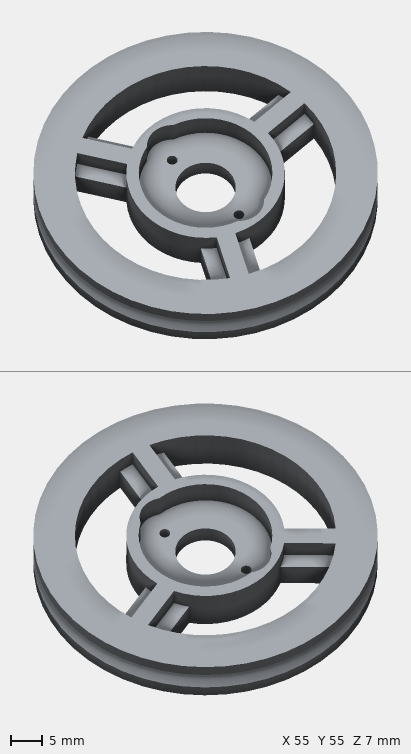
import cadquery as cq

outer_diameter = 55.0
height = 7.0
rim_inner_radius = 20.85
groove_depth = 1.55
groove_width = 2 * groove_depth

hub_radius = 12.65
pocket_radius = 10.65
pocket_depth = 4.0
bore_diameter = 9.6
pin_hole_diameter = 1.7
pin_hole_offset = 7.55
lobe_radius = 4.0

spoke_count = 3
first_spoke_angle = 90.0
flange_width = 8.05
flange_height = 4.0
web_width = 3.1
spoke_overlap = 0.8

outer_radius = outer_diameter / 2
pin_positions = [(-pin_hole_offset, 0), (pin_hole_offset, 0)]


def make_rim():
    """Revolve the rim section, with the V-groove at mid-height."""
    middle = height / 2
    return (
        cq.Workplane("XZ")
        .moveTo(rim_inner_radius, 0)
        .lineTo(outer_radius, 0)
        .lineTo(outer_radius, middle - groove_width / 2)
        .lineTo(outer_radius - groove_depth, middle)
        .lineTo(outer_radius, middle + groove_width / 2)
        .lineTo(outer_radius, height)
        .lineTo(rim_inner_radius, height)
        .close()
        .revolve(360, (0, 0, 0), (0, 1, 0))
    )


def make_spoke(angle):
    """Build one stepped spoke pointing outward at the given angle."""
    start = hub_radius - spoke_overlap
    length = rim_inner_radius + spoke_overlap - start
    centered = (False, True, False)
    flange = cq.Workplane("XY").box(length, flange_width, flange_height, centered=centered)
    web = cq.Workplane("XY").box(length, web_width, height, centered=centered)
    spoke = flange.union(web).translate((start, 0, 0))
    return spoke.rotate((0, 0, 0), (0, 0, 1), angle)


def make_pocket():
    """Build the round pocket volume with a lobe around each pin hole."""
    floor = cq.Workplane("XY").workplane(offset=height - pocket_depth)
    disc = floor.circle(pocket_radius).extrude(pocket_depth)
    lobes = floor.pushPoints(pin_positions).circle(lobe_radius).extrude(pocket_depth)
    return disc.union(lobes)


result = make_rim().union(cq.Workplane("XY").circle(hub_radius).extrude(height))
for index in range(spoke_count):
    result = result.union(make_spoke(first_spoke_angle + index * 360 / spoke_count))

result = result.cut(make_pocket())
result = result.cut(cq.Workplane("XY").circle(bore_diameter / 2).extrude(height))
pin_holes = cq.Workplane("XY").pushPoints(pin_positions).circle(pin_hole_diameter / 2).extrude(height)
result = result.cut(pin_holes)